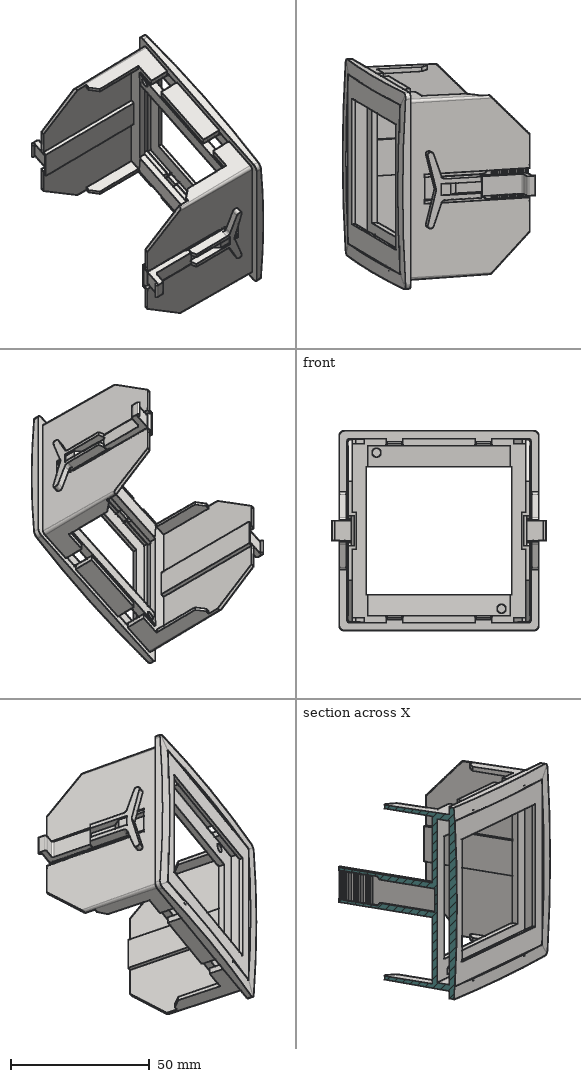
import cadquery as cq
import math


BEZEL_SIZE = 72.0
BEZEL_CORNER_RADIUS = 2.0
BEZEL_EDGE_TOP = 3.05
BEZEL_INNER_TOP = 3.35
BEZEL_CORNER_DROP = 1.2
BEZEL_OPENING = 62.0

WALL_OUTER = 66.4
WALL_CORNER_RADIUS = 1.2
WALL_LENGTH = 46.05
WALL_DRAFT = 0.75
WALL_INNER_HALF = 31.3
WALL_TIP_HALF = 17.8
GUSSET_HALF = 27.0
GUSSET_END = 27.0
GUSSET_CHAMFER = 2.9

RING_FRONT = 4.85
RING_REAR = 7.05
CAVITY_HALF_Z = 30.6
WINDOW_X = 52.3
WINDOW_Z = 46.0
STRIP_LENGTH = 51.3
STRIP_RISE_OUTER = 0.65
STRIP_RISE_INNER = 0.2
STRIP_HOLE_DIAMETER = 3.2
STRIP_HOLE_X = 22.5
STRIP_HOLE_Z = 28.1

NOTCH_X = 16.0
NOTCH_WIDTH = 6.0

INSERT_REAR = 1.3
INSERT_FRONT = 2.6
TAB_WIDTH = 5.1
TAB_REACH = 32.0
TAB_BEVEL = 0.6

RAIL_HALF = 6.6
RAIL_FACE = 29.85
CHANNEL_HALF = 5.4
CHANNEL_NARROW_HALF = 4.3
CHANNEL_FLOOR = 30.5
CHANNEL_LEDGE = 32.6
CHANNEL_START = 6.1
CHANNEL_WIDENING_END = 30.0
TOOTH_COUNT = 14
TOOTH_PITCH = 1.0
TOOTH_TIP = 31.6

CLIP_OUTER = 35.85
CLIP_INNER = 33.4
CLIP_BODY_HALF = 3.9
CLIP_BODY_END = 27.6
CLIP_END_SLOPE = 1.0
ARM_TIP_Y = 7.55
ARM_TIP_Z = 12.8
ARM_TIP_RADIUS = 1.2
ARM_VERTEX_Y = 9.7
ARM_ROOT_Y = 12.0
ARM_ROOT_RADIUS = 1.5
SLOT_START = 11.6
SLOT_HALF = 2.1
STRAP_HALF = 3.6
STRAP_OUTER = 33.9
SLOT_SHELF = 35.2
SLOT_FLOOR = 33.2
RAMP_START = 15.3
RAMP_END = 17.8
HOOK_FRONT = 43.1
HOOK_REAR = 45.3
HOOK_REACH = 38.6
HOOK_BEND_RADIUS = 0.6
LIP_END = 46.4
LIP_BEAD_RADIUS = 0.55


def box(x0, x1, y0, y1, z0, z1):
    """Axis-aligned box between two opposite corners."""
    return cq.Workplane("XY").box(x1 - x0, y1 - y0, z1 - z0, centered=False).translate((x0, y0, z0))


def prism_xy(outline, half_height):
    """Prism from an outline in X and Y, symmetric about Z = 0."""
    return cq.Workplane("XY").polyline(outline).close().extrude(half_height, both=True)


def plate_xz(size_x, size_z, y0, y1):
    """Plate centred on the Y axis, from Y = y0 to Y = y1."""
    return box(-size_x / 2, size_x / 2, y0, y1, -size_z / 2, size_z / 2)


def mirrored_pair(body, plane):
    """A body joined with its mirror image."""
    return body.union(body.mirror(plane))



def bezel_band():
    """Top side of the bezel: domed along X, rising inward, mitred at both ends."""
    half = BEZEL_SIZE / 2
    inner_half = BEZEL_OPENING / 2
    end_height = BEZEL_EDGE_TOP - BEZEL_CORNER_DROP
    rise = BEZEL_INNER_TOP - BEZEL_EDGE_TOP

    def section(z, lift):
        return (
            cq.Workplane("XY", origin=(0, 0, z))
            .moveTo(-half, 0)
            .lineTo(-half, end_height + lift)
            .threePointArc((0, BEZEL_EDGE_TOP + lift), (half, end_height + lift))
            .lineTo(half, 0)
            .close()
            .wires()
            .val()
        )

    domed_bar = cq.Workplane(cq.Solid.makeLoft([section(inner_half, rise), section(half, 0)], True))
    mitre = (
        cq.Workplane("XZ")
        .polyline([(-half, half), (half, half), (inner_half, inner_half), (-inner_half, inner_half)])
        .close()
        .extrude(-2 * BEZEL_INNER_TOP)
    )
    return domed_bar.intersect(mitre)


def bezel():
    """Four equal bands joined into a square ring with rounded outer corners."""
    ring = bezel_band()
    for quarter in range(1, 4):
        ring = ring.union(bezel_band().rotate((0, 0, 0), (0, 1, 0), 90 * quarter))
    return ring.edges("|Y").edges("<X or >X").fillet(BEZEL_CORNER_RADIUS)


def walls():
    """Drafted box, opened at the rear down to two side walls with gussets."""
    shell = (
        cq.Workplane("XZ")
        .sketch()
        .rect(WALL_OUTER, WALL_OUTER)
        .vertices()
        .fillet(WALL_CORNER_RADIUS)
        .finalize()
        .extrude(WALL_LENGTH, taper=WALL_DRAFT)
    )
    inner = 2 * WALL_INNER_HALF
    shell = shell.cut(plate_xz(inner, 2 * CAVITY_HALF_Z, -RING_FRONT, 0))
    shell = shell.cut(plate_xz(inner, inner, -WALL_LENGTH, -RING_REAR))

    gusset_tip = GUSSET_HALF + GUSSET_CHAMFER
    edge = [
        (GUSSET_HALF, -RING_REAR),
        (GUSSET_HALF, -GUSSET_END + GUSSET_CHAMFER),
        (gusset_tip, -GUSSET_END),
        (WALL_INNER_HALF, -GUSSET_END),
        (WALL_INNER_HALF, -WALL_LENGTH),
    ]
    opposite_edge = [(-x, y) for x, y in reversed(edge)]
    return shell.cut(prism_xy(edge + opposite_edge, WALL_OUTER))


def wall_corner_cut():
    """45 degree cut across the top rear corner of both side walls."""
    leg = WALL_OUTER
    corner = (
        cq.Workplane("YZ")
        .polyline([
            (-WALL_LENGTH, WALL_TIP_HALF),
            (-WALL_LENGTH + leg, WALL_TIP_HALF + leg),
            (-WALL_LENGTH, WALL_TIP_HALF + leg),
        ])
        .close()
        .extrude(WALL_OUTER, both=True)
    )
    return mirrored_pair(corner, "XY")


def strip():
    """Raised strip above the window on the rear ring, thicker at its outer edge."""
    profile = [
        (-RING_REAR, WINDOW_Z / 2),
        (-RING_REAR - STRIP_RISE_INNER, WINDOW_Z / 2),
        (-RING_REAR - STRIP_RISE_OUTER, CAVITY_HALF_Z),
        (-RING_REAR, CAVITY_HALF_Z),
    ]
    return cq.Workplane("YZ").polyline(profile).close().extrude(STRIP_LENGTH / 2, both=True)


def strip_hole(x, z):
    """Round hole through a strip and the ring."""
    return (
        cq.Workplane("XZ", origin=(x, -RING_FRONT, z))
        .circle(STRIP_HOLE_DIAMETER / 2)
        .extrude(RING_REAR - RING_FRONT + 2 * STRIP_RISE_OUTER)
    )


def snap_notch(x):
    """Notch through the top wall and the ring edge below it."""
    return box(x - NOTCH_WIDTH / 2, x + NOTCH_WIDTH / 2, -RING_REAR, 0, CAVITY_HALF_Z, WALL_OUTER)


def clip_rail():
    """Solid rail inside the left wall that the channel is cut into."""
    return box(-CHANNEL_LEDGE, -RAIL_FACE, -WALL_LENGTH, -RING_FRONT, -RAIL_HALF, RAIL_HALF)


def clip_channel():
    """Stepped channel in the left wall, open to the outside and to the rear."""
    shallow = box(-WALL_OUTER, -CHANNEL_LEDGE, -WALL_LENGTH, -CHANNEL_START, -CHANNEL_HALF, CHANNEL_HALF)
    widening = CHANNEL_HALF - CHANNEL_NARROW_HALF
    upper = [
        (-CHANNEL_START, CHANNEL_NARROW_HALF),
        (-CHANNEL_WIDENING_END + widening, CHANNEL_NARROW_HALF),
        (-CHANNEL_WIDENING_END, CHANNEL_HALF),
        (-WALL_LENGTH, CHANNEL_HALF),
    ]
    lower = [(y, -z) for y, z in reversed(upper)]
    deep = (
        cq.Workplane("YZ", origin=(-WALL_OUTER, 0, 0))
        .polyline(upper + lower)
        .close()
        .extrude(WALL_OUTER - CHANNEL_FLOOR)
    )
    return shallow.union(deep)


def ratchet_teeth():
    """Saw-toothed bar along the floor of the left channel, ending at the wall tip."""
    base = -RAIL_FACE
    outline = [(base, -WALL_LENGTH)]
    for tooth in range(TOOTH_COUNT):
        rear = -WALL_LENGTH + tooth * TOOTH_PITCH
        outline.append((-CHANNEL_FLOOR, rear))
        outline.append((-TOOTH_TIP, rear + TOOTH_PITCH))
    outline.append((base, -WALL_LENGTH + TOOTH_COUNT * TOOTH_PITCH))
    return prism_xy(outline, CHANNEL_HALF)


def insert_tab(x):
    """Snap tab standing on the top edge of the insert, bevelled at its rear."""
    profile = [
        (INSERT_REAR, WINDOW_Z / 2),
        (INSERT_REAR, TAB_REACH - TAB_BEVEL),
        (INSERT_REAR + TAB_BEVEL, TAB_REACH),
        (INSERT_FRONT, TAB_REACH),
        (INSERT_FRONT, WINDOW_Z / 2),
    ]
    tab = cq.Workplane("YZ").polyline(profile).close().extrude(TAB_WIDTH / 2, both=True)
    return tab.translate((x, 0, 0))


def tab_slot(x):
    """Slot in the bezel that receives a snap tab."""
    return box(x - TAB_WIDTH / 2, x + TAB_WIDTH / 2, 0, INSERT_FRONT, WINDOW_Z / 2, TAB_REACH)


def make_frame():
    body = bezel().union(walls()).cut(wall_corner_cut())
    body = body.union(mirrored_pair(strip(), "XY"))
    body = body.cut(plate_xz(WINDOW_X, WINDOW_Z, -RING_REAR, 0))
    body = body.cut(strip_hole(-STRIP_HOLE_X, STRIP_HOLE_Z))
    body = body.cut(strip_hole(STRIP_HOLE_X, -STRIP_HOLE_Z))
    for x in (-NOTCH_X, NOTCH_X):
        body = body.cut(mirrored_pair(snap_notch(x), "XY"))
        body = body.cut(mirrored_pair(tab_slot(x), "XY"))
    body = body.union(mirrored_pair(clip_rail(), "YZ"))
    body = body.cut(mirrored_pair(clip_channel(), "YZ"))
    return body.union(mirrored_pair(ratchet_teeth(), "YZ"))



def make_insert():
    """Flat window plate that snaps into the bezel opening."""
    plate = plate_xz(BEZEL_OPENING, BEZEL_OPENING, INSERT_REAR, INSERT_FRONT)
    for x in (-NOTCH_X, NOTCH_X):
        plate = plate.union(mirrored_pair(insert_tab(x), "XY"))
    return plate.cut(plate_xz(WINDOW_X, WINDOW_Z, INSERT_REAR, INSERT_FRONT))



def clip_head():
    """Forked head: two rounded arms running into a slotted body with a sloped end."""
    body_plane = cq.Workplane("YZ", origin=(-CLIP_OUTER, 0, 0))
    thickness = CLIP_OUTER - CLIP_INNER
    arm_angle = math.atan2(ARM_TIP_Z, ARM_VERTEX_Y - ARM_TIP_Y + ARM_TIP_RADIUS)
    across_y = ARM_TIP_RADIUS * math.sin(arm_angle)
    across_z = ARM_TIP_RADIUS * math.cos(arm_angle)
    front_tangent = (-ARM_TIP_Y + across_y, ARM_TIP_Z + across_z)
    rear_tangent = (-ARM_TIP_Y - across_y, ARM_TIP_Z + across_z)
    tip = (-ARM_TIP_Y, ARM_TIP_Z + ARM_TIP_RADIUS)
    upper_half = (
        body_plane.moveTo(-ARM_VERTEX_Y, 0)
        .lineTo(*front_tangent)
        .threePointArc(tip, rear_tangent)
        .lineTo(-ARM_ROOT_Y, CLIP_BODY_HALF)
        .lineTo(-CLIP_BODY_END, CLIP_BODY_HALF)
        .lineTo(-CLIP_BODY_END, 0)
        .close()
        .extrude(thickness)
    )
    root = cq.selectors.NearestToPointSelector((-CLIP_OUTER + thickness / 2, -ARM_ROOT_Y, CLIP_BODY_HALF))
    upper_half = upper_half.edges("|X").edges(root).fillet(ARM_ROOT_RADIUS)
    head = mirrored_pair(upper_half, "XY")
    head = head.cut(box(-CLIP_OUTER, -CLIP_INNER, -CLIP_BODY_END, -SLOT_START, -SLOT_HALF, SLOT_HALF))

    end_slope = [
        (-CLIP_OUTER, -CLIP_BODY_END + CLIP_END_SLOPE),
        (-STRAP_OUTER, -CLIP_BODY_END),
        (-CLIP_OUTER, -CLIP_BODY_END),
    ]
    return head.cut(prism_xy(end_slope, CLIP_BODY_HALF))


def clip_strap():
    """Strap that slides on the ratchet teeth and ends in an outward hook."""
    outline = [
        (-TOOTH_TIP, -CLIP_BODY_END),
        (-STRAP_OUTER, -CLIP_BODY_END),
        (-STRAP_OUTER, -HOOK_FRONT),
        (-HOOK_REACH, -HOOK_FRONT),
        (-HOOK_REACH, -HOOK_REAR),
        (-TOOTH_TIP, -HOOK_REAR),
    ]
    strap = prism_xy(outline, STRAP_HALF)
    for corner_x in (-STRAP_OUTER, -HOOK_REACH):
        corner = cq.selectors.NearestToPointSelector((corner_x, -HOOK_FRONT, 0))
        strap = strap.edges("|Z").edges(corner).fillet(HOOK_BEND_RADIUS)
    bead_y = -LIP_END + LIP_BEAD_RADIUS
    lip = box(-HOOK_REACH, -HOOK_REACH + LIP_BEAD_RADIUS, bead_y, -HOOK_REAR, -STRAP_HALF, STRAP_HALF)
    bead = (
        cq.Workplane("XY")
        .center(-HOOK_REACH + LIP_BEAD_RADIUS, bead_y)
        .circle(LIP_BEAD_RADIUS)
        .extrude(STRAP_HALF, both=True)
    )
    return strap.union(lip).union(bead)


def clip_base():
    """Part of the clip body inside the channel, with the ramped floor of the slot."""
    base = box(-CLIP_INNER, -TOOTH_TIP, -CLIP_BODY_END, -SLOT_START, -CLIP_BODY_HALF, CLIP_BODY_HALF)
    slot = box(-CLIP_INNER, -TOOTH_TIP, -CLIP_BODY_END, -SLOT_START, -SLOT_HALF, SLOT_HALF)
    floor = [
        (-TOOTH_TIP, -SLOT_START),
        (-SLOT_SHELF, -SLOT_START),
        (-SLOT_SHELF, -RAMP_START),
        (-SLOT_FLOOR, -RAMP_END),
        (-SLOT_FLOOR, -CLIP_BODY_END),
        (-TOOTH_TIP, -CLIP_BODY_END),
    ]
    return base.cut(slot).union(prism_xy(floor, SLOT_HALF))


def make_clip(side):
    """Clip in the left wall (side = -1) or the right wall (side = 1)."""
    clip = clip_head().union(clip_base()).union(clip_strap())
    return clip.mirror("YZ") if side > 0 else clip


frame = make_frame()
insert = make_insert()
clips = [make_clip(side) for side in (-1, 1)]

result = cq.Compound.makeCompound([body.solids().val() for body in (frame, insert, *clips)])